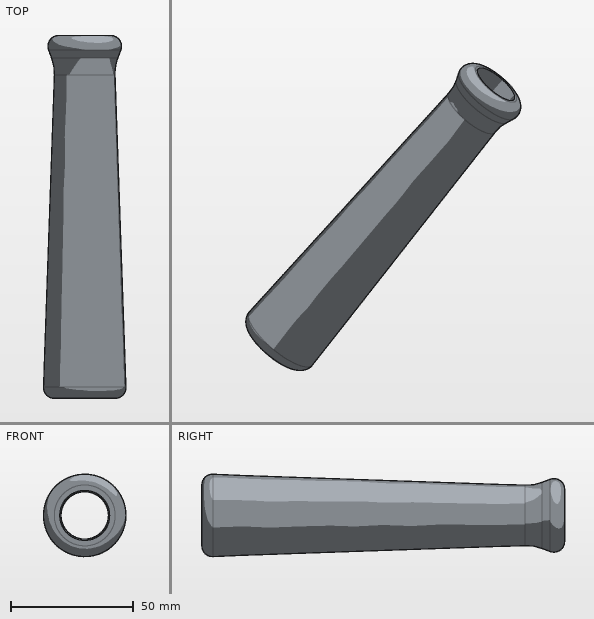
import cadquery as cq

LENGTH = 147.9

GRIP_END_RADIUS = 17.0
WAIST_RADIUS = 12.3
LIP_RADIUS = 17.0
WAIST_TO_LIP_END = 12.5
WAIST_Y = LENGTH - WAIST_TO_LIP_END

END_ROUND = 4.5
WAIST_ROUND = 17.7
WAIST_MARGIN = 1.5

BORE_GRIP_RADIUS = 10.2
BORE_LIP_RADIUS = 9.6


def revolve_about_y(profile_points):
    """Revolve a closed outline of (radius, Y) points about the Y axis."""
    profile = cq.Workplane("XY").polyline(profile_points).close()
    return profile.revolve(360, (0, 0, 0), (0, 1, 0))


def make_outer_body():
    """Two cones meeting at the waist, with both ends and the waist rounded."""
    body = revolve_about_y([
        (0, 0),
        (GRIP_END_RADIUS, 0),
        (WAIST_RADIUS, WAIST_Y),
        (LIP_RADIUS, LENGTH),
        (0, LENGTH),
    ])
    waist_edge = cq.selectors.BoxSelector(
        (-LENGTH, WAIST_Y - WAIST_MARGIN, -LENGTH),
        (LENGTH, WAIST_Y + WAIST_MARGIN, LENGTH),
    )
    body = body.edges(waist_edge).fillet(WAIST_ROUND)
    return body.faces("<Y or >Y").edges().fillet(END_ROUND)


def make_bore():
    """Tapered cutter for the through bore."""
    return revolve_about_y([
        (0, 0),
        (BORE_GRIP_RADIUS, 0),
        (BORE_LIP_RADIUS, LENGTH),
        (0, LENGTH),
    ])


result = make_outer_body().cut(make_bore())